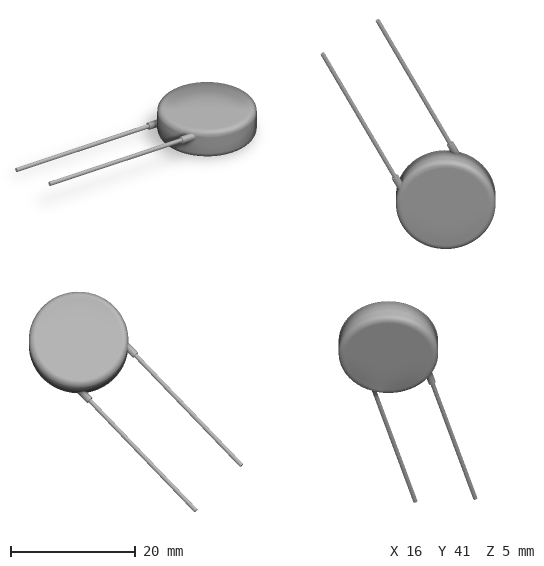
import cadquery as cq

total_length = 41.0
disc_diameter = 16.0
disc_thickness = 5.0
edge_radius = 1.0
lead_spacing = 10.0
lead_offset_z = 1.3
lead_diameter = 0.7
collar_diameter = 1.2
collar_root_y = -4.1

disc_radius = disc_diameter / 2
collar_end_y = -disc_radius
lead_end_y = disc_radius - total_length
lead_axes = [
    (-lead_spacing / 2, -lead_offset_z),
    (lead_spacing / 2, lead_offset_z),
]


def rod_along_y(axis, diameter, start_y, end_y):
    """Round rod parallel to Y, running from start_y down to end_y."""
    x, z = axis
    return (
        cq.Workplane("XZ", origin=(x, start_y, z))
        .circle(diameter / 2)
        .extrude(start_y - end_y)
    )


def make_body():
    """Disc with rounded rims and a coating collar around the exit of each lead."""
    body = (
        cq.Workplane("XY", origin=(0, 0, -disc_thickness / 2))
        .circle(disc_radius)
        .extrude(disc_thickness)
        .faces("<Z or >Z")
        .edges()
        .fillet(edge_radius)
    )
    for axis in lead_axes:
        body = body.union(rod_along_y(axis, collar_diameter, collar_root_y, collar_end_y))
    return body


def make_lead(axis):
    """Straight wire that starts on the end face of its collar."""
    return rod_along_y(axis, lead_diameter, collar_end_y, lead_end_y)


body = make_body()
leads = [make_lead(axis) for axis in lead_axes]

result = cq.Compound.makeCompound([body.val(), *[lead.val() for lead in leads]])